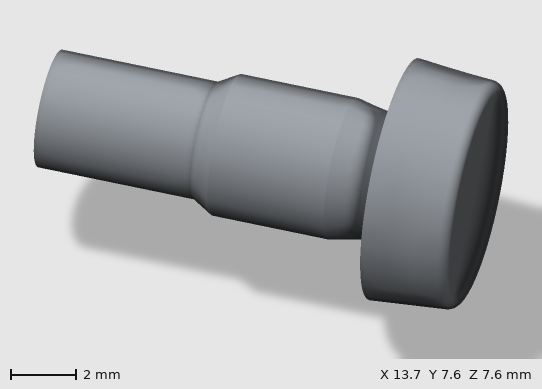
import cadquery as cq

overall_length = 13.7
tip_radius = 3.7 / 2
body_radius = 4.45 / 2
neck_radius = 4.0 / 2
head_radius = 7.6 / 2
head_end_radius = 3.58

tip_end = 5.0
body_start = 5.66
body_end = 9.38
neck_start = 10.45
head_start = 11.0
neck_fillet = 0.4
head_fillet = 0.3

profile = (
    cq.Workplane("XZ")
    .lineTo(0, tip_radius)
    .lineTo(tip_end, tip_radius)
    .lineTo(body_start, body_radius)
    .lineTo(body_end, body_radius)
    .lineTo(neck_start, neck_radius)
    .lineTo(head_start - neck_fillet, neck_radius)
    .radiusArc((head_start, neck_radius + neck_fillet), -neck_fillet)
    .lineTo(head_start, head_radius)
    .lineTo(overall_length, head_end_radius)
    .lineTo(overall_length, 0)
    .close()
)

pin = profile.revolve(360, (0, 0, 0), (1, 0, 0))

result = pin.faces(">X").edges().fillet(head_fillet)